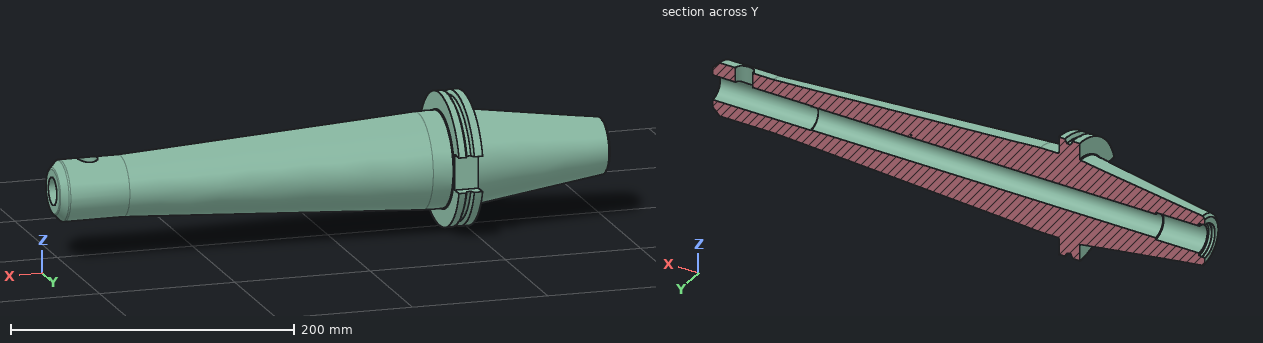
import cadquery as cq

total_length = 406.5
flange_start = 103.2
flange_end = 120.7
collar_end = 136.0
nose_start = 356.5

taper_small_diameter = 41.0
collar_diameter = 70.0
flange_diameter = 97.0
nose_diameter = 44.5
taper_edge_length = 1.5
taper_edge_height = 2.5
nose_chamfer = 5.5
nose_rounding = 1.5
root_chamfer = 0.6

groove_start = 109.5
groove_mouth = 6.0
groove_floor = 3.0
groove_depth = 3.3

slot_width = 26.0
front_slot_floor = 35.0
rear_slot_floor = 37.0

mouth_diameter = 27.0
pilot_diameter = 26.0
thread_diameter = 22.0
channel_diameter = 19.0
tool_bore_diameter = 20.0
mouth_depth = 2.5
pilot_depth = 5.0
thread_depth = 40.5
tool_bore_depth = 81.3

screw_diameter = 14.2
screw_position = 380.5


def make_body():
    """Revolve the outer outline, from taper to nose, about the X axis."""
    taper_radius = taper_small_diameter / 2
    collar_radius = collar_diameter / 2
    flange_radius = flange_diameter / 2
    nose_radius = nose_diameter / 2
    groove_center = groove_start + groove_mouth / 2
    groove_radius = flange_radius - groove_depth
    outline = [
        (0, 0),
        (0, taper_radius - taper_edge_height),
        (taper_edge_length, taper_radius),
        (flange_start - root_chamfer, collar_radius),
        (flange_start, collar_radius + root_chamfer),
        (flange_start, flange_radius),
        (groove_start, flange_radius),
        (groove_center - groove_floor / 2, groove_radius),
        (groove_center + groove_floor / 2, groove_radius),
        (groove_start + groove_mouth, flange_radius),
        (flange_end, flange_radius),
        (flange_end, collar_radius + root_chamfer),
        (flange_end + root_chamfer, collar_radius),
        (collar_end, collar_radius),
        (nose_start, nose_radius),
        (total_length - nose_chamfer, nose_radius),
        (total_length, nose_radius - nose_chamfer),
        (total_length, 0),
    ]
    body = cq.Workplane("XY").polyline(outline).close().revolve(360, (0, 0, 0), (1, 0, 0))
    nose_zone = cq.selectors.BoxSelector(
        (total_length - 2 * nose_chamfer, -nose_diameter, -nose_diameter),
        (total_length + nose_chamfer, nose_diameter, nose_diameter),
    )
    return body.edges("%CIRCLE").edges(nose_zone).fillet(nose_rounding)


def axial_hole(start, length, diameter):
    """Cylinder along +X used to cut one step of the bore."""
    return cq.Workplane("YZ", origin=(start, 0, 0)).circle(diameter / 2).extrude(length)


def drive_slot(side, floor):
    """Block outside the slot floor; side is -1 for -Y and +1 for +Y."""
    slot_depth = flange_diameter / 2 - floor
    slot_length = flange_end - flange_start
    center = ((flange_start + flange_end) / 2, side * (floor + slot_depth / 2), 0)
    return cq.Workplane("XY").box(slot_length, slot_depth, slot_width).translate(center)


result = make_body()

for side, floor in ((-1, front_slot_floor), (1, rear_slot_floor)):
    result = result.cut(drive_slot(side, floor))

bore_steps = (
    (0, mouth_depth, mouth_diameter),
    (0, pilot_depth, pilot_diameter),
    (0, thread_depth, thread_diameter),
    (0, total_length, channel_diameter),
    (total_length - tool_bore_depth, tool_bore_depth, tool_bore_diameter),
)
for start, length, diameter in bore_steps:
    result = result.cut(axial_hole(start, length, diameter))

screw_hole = (
    cq.Workplane("XY", origin=(screw_position, 0, 0))
    .circle(screw_diameter / 2)
    .extrude(nose_diameter)
)
result = result.cut(screw_hole)